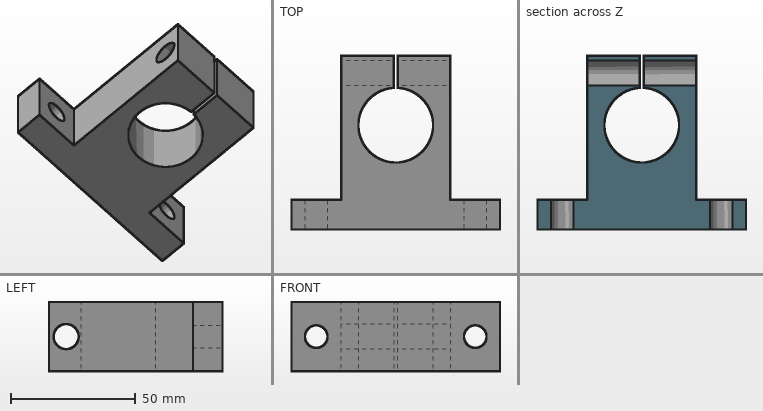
import cadquery as cq

base_length = 84.0
total_depth = 70.0
height = 28.0

flange_thickness = 12.0
mount_hole_diameter = 9.0
mount_hole_spacing = 64.0

block_width = 44.0
bore_diameter = 30.0
bore_distance = 42.0
slit_width = 1.5

clamp_hole_diameter = 10.0
clamp_hole_inset = 7.0

mid_height = height / 2


def make_body():
    """T-shaped body with the mounting face on Y = 0 and the underside on Z = 0."""
    flange = cq.Workplane("XY").box(base_length, flange_thickness, height, centered=(True, False, False))
    block = cq.Workplane("XY").box(block_width, total_depth, height, centered=(True, False, False))
    return flange.union(block)


def make_shaft_bore():
    return cq.Workplane("XY").center(0, bore_distance).circle(bore_diameter / 2).extrude(height)


def make_slit():
    """Thin gap from the bore axis out through the end of the block."""
    slit_length = total_depth - bore_distance
    slit = cq.Workplane("XY").box(slit_width, slit_length, height, centered=(True, False, False))
    return slit.translate((0, bore_distance, 0))


def make_mount_holes():
    half_spacing = mount_hole_spacing / 2
    return (
        cq.Workplane("XZ")
        .pushPoints([(-half_spacing, mid_height), (half_spacing, mid_height)])
        .circle(mount_hole_diameter / 2)
        .extrude(-flange_thickness)
    )


def make_clamp_hole():
    return (
        cq.Workplane("YZ")
        .center(total_depth - clamp_hole_inset, mid_height)
        .circle(clamp_hole_diameter / 2)
        .extrude(block_width / 2, both=True)
    )


result = (
    make_body()
    .cut(make_shaft_bore())
    .cut(make_slit())
    .cut(make_mount_holes())
    .cut(make_clamp_hole())
)